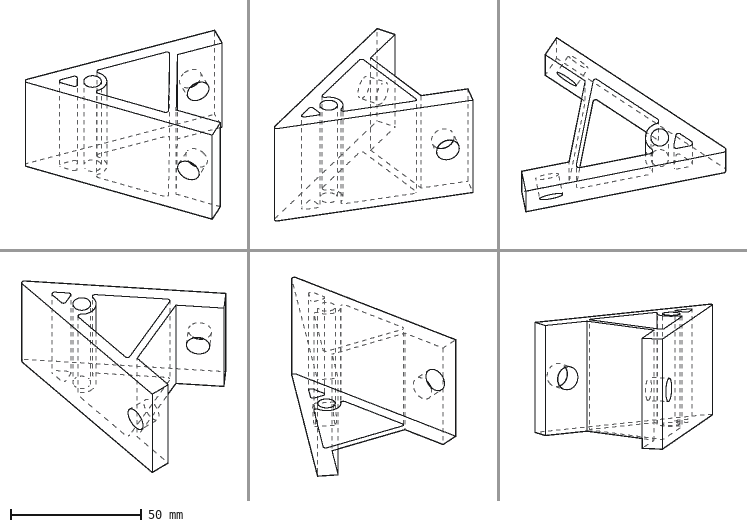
import cadquery as cq
import math

overall_length = 78.6
height = 43.0

arm_angle = 45.0
arm_thickness = 8.0
half_angle = math.radians(arm_angle / 2)
tip_radius = 1.0
arm_length = overall_length + tip_radius * (1 / math.tan(half_angle) - 1)

strut_outer_distance = 59.9
strut_thickness = 3.0
strut_inner_distance = strut_outer_distance - strut_thickness

pocket_wall = 5.0
corner_radius = 1.0
small_pocket_end = 21.6

boss_distance = 27.5
boss_bore_diameter = 6.75
boss_radius = boss_distance * math.sin(half_angle) - pocket_wall

mount_hole_diameter = 8.95
mount_hole_end_distance = 10.0


def turn(solid, angle):
    """Turn a solid about the vertical axis through the apex."""
    return solid.rotate((0, 0, 0), (0, 0, 1), angle)


def wall_half_width(distance, wall):
    """Half the gap left between arms of the given wall, at a distance along the bisector."""
    return distance * math.tan(half_angle) - wall / math.cos(half_angle)


def point_at(center, radius, angle):
    """Point on a circle, with the angle in radians."""
    return (center[0] + radius * math.cos(angle), center[1] + radius * math.sin(angle))


def mirrored(point):
    """Point on the other side of the bisector."""
    return (point[0], -point[1])


def make_body():
    outer_end = point_at((0, 0), arm_length, half_angle)
    inner_end = point_at(outer_end, arm_thickness, half_angle - math.pi / 2)
    strut_corner = (strut_outer_distance, wall_half_width(strut_outer_distance, arm_thickness))
    upper_half = [outer_end, inner_end, strut_corner]
    lower_half = [mirrored(point) for point in reversed(upper_half)]
    body = cq.Workplane("XY").polyline([(0, 0)] + upper_half + lower_half).close().extrude(height)
    return body.edges("|Z").edges("<X").fillet(tip_radius)


def make_small_pocket():
    """Triangular pocket between the apex and the boss."""
    start = pocket_wall / math.sin(half_angle)
    end_corner = (small_pocket_end, wall_half_width(small_pocket_end, pocket_wall))
    outline = cq.Workplane("XY").polyline([(start, 0), mirrored(end_corner), end_corner]).close()
    return outline.extrude(height).edges("|Z").fillet(corner_radius)


def make_large_pocket():
    """Pocket between the boss and the strut, rounded where the boss meets the walls."""
    boss_contact = boss_distance * math.cos(half_angle)
    along_wall = boss_contact + 2 * math.sqrt(boss_radius * corner_radius)
    wall_foot = point_at((0, 0), along_wall, half_angle)
    to_inside = half_angle - math.pi / 2
    wall_end = point_at(wall_foot, pocket_wall, to_inside)
    round_center = point_at(wall_foot, pocket_wall + corner_radius, to_inside)

    to_boss = math.atan2(-round_center[1], boss_distance - round_center[0]) % (2 * math.pi)
    to_wall = half_angle + math.pi / 2
    boss_end = point_at(round_center, corner_radius, to_boss)
    round_middle = point_at(round_center, corner_radius, (to_boss + to_wall) / 2)
    strut_corner = (strut_inner_distance, wall_half_width(strut_inner_distance, pocket_wall))

    outline = (
        cq.Workplane("XY")
        .moveTo(*wall_end)
        .threePointArc(round_middle, boss_end)
        .threePointArc((boss_distance + boss_radius, 0), mirrored(boss_end))
        .threePointArc(mirrored(round_middle), mirrored(wall_end))
        .lineTo(*mirrored(strut_corner))
        .lineTo(*strut_corner)
        .close()
    )
    return outline.extrude(height).edges("|Z").edges(">X").fillet(corner_radius)


def make_boss_bore():
    return cq.Workplane("XY").center(boss_distance, 0).circle(boss_bore_diameter / 2).extrude(height)


def make_mount_hole():
    """Hole through the thickness of the arm lying along X."""
    hole = cq.Workplane("XZ").center(arm_length - mount_hole_end_distance, height / 2)
    return hole.circle(mount_hole_diameter / 2).extrude(-arm_thickness)


body = make_body().cut(make_small_pocket()).cut(make_large_pocket()).cut(make_boss_bore())
result = turn(body, arm_angle / 2)

lower_hole = make_mount_hole()
upper_hole = turn(lower_hole.mirror("XZ"), arm_angle)
result = result.cut(lower_hole).cut(upper_hole)